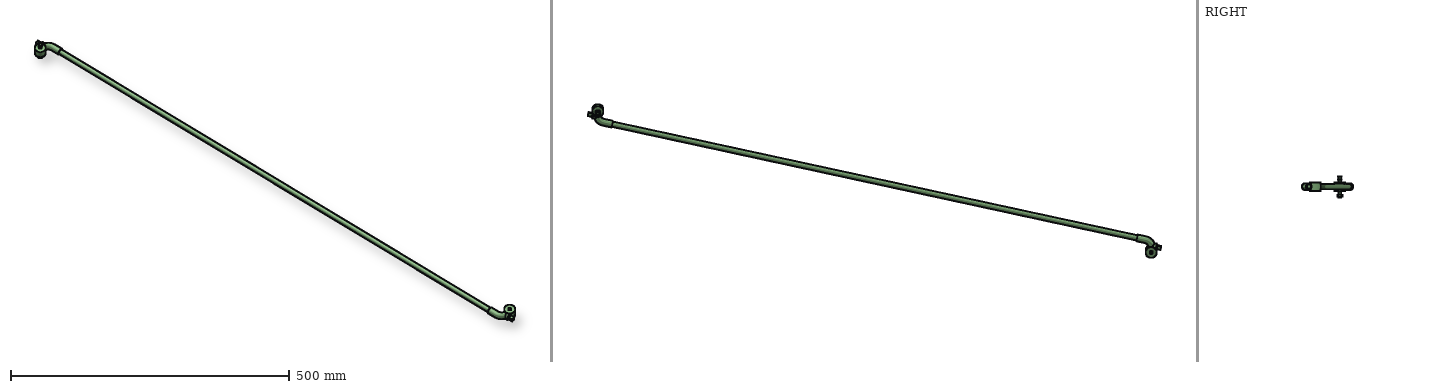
import cadquery as cq
import math

OVERALL_LENGTH = 1058.0
AXIS_Z = 0.5
TUBE_TILT = -4.6
TUBE_RADIUS = 5.0

COLLAR_RADIUS = 6.0
COLLAR_START = 484.0
COLLAR_LENGTH = 16.0
COLLAR_END = COLLAR_START + COLLAR_LENGTH
BEND_RADIUS = 15.0
EYE_DISTANCE = COLLAR_END + BEND_RADIUS
EYE_OFFSET = 19.0
EYE_RADIUS = 10.1
EYE_HEIGHT = 16.0

LUG_OFFSET = 9.0
LUG_SIZE = 6.0
LUG_CORNER = LUG_OFFSET + LUG_SIZE / 2
TILT_ANGLE = math.radians(abs(TUBE_TILT))
LUG_TIP = (OVERALL_LENGTH / 2 - LUG_CORNER * math.sin(TILT_ANGLE)) / math.cos(TILT_ANGLE)
BOSS_RADIUS = 6.0
BOSS_TIP = 523.0
BOSS_CHAMFER = 2.0

PIN_RADIUS = 2.9
PIN_TOP = 19.0
PIN_BOTTOM = -20.0
FLANGE_RADIUS = 3.6
FLANGE_THICKNESS = 1.0
FLANGE_SPACING = 5.0
RETAINER_RADIUS = 4.8
RETAINER_THICKNESS = 3.7
PIN_TIP_LENGTH = 2.0
RETAINER_BOTTOM = PIN_BOTTOM + PIN_TIP_LENGTH


def place(body, turn):
    """Turn a body laid out along +X onto the slanted tube line; 180 puts it at the -X tip."""
    return body.rotate((0, 0, 0), (0, 0, 1), TUBE_TILT + turn).translate((0, 0, AXIS_Z))


def bar_along_tube(radius, start, end, offset=0):
    """Round bar parallel to the tube axis."""
    return cq.Workplane("YZ", origin=(start, offset, 0)).circle(radius).extrude(end - start)


def disc_on_eye_axis(radius, bottom, height):
    """Upright disc centred on the eye."""
    return cq.Workplane("XY", origin=(EYE_DISTANCE, EYE_OFFSET, bottom)).circle(radius).extrude(height)


def make_tube():
    return bar_along_tube(TUBE_RADIUS, -COLLAR_START, COLLAR_START)


def make_bend():
    """Quarter bend that turns from the collar towards the eye."""
    path = (
        cq.Workplane("XY")
        .moveTo(COLLAR_END, 0)
        .radiusArc((EYE_DISTANCE, BEND_RADIUS), -BEND_RADIUS)
    )
    return cq.Workplane("YZ", origin=(COLLAR_END, 0, 0)).circle(COLLAR_RADIUS).sweep(path)


def make_lug():
    boss = bar_along_tube(BOSS_RADIUS, EYE_DISTANCE, BOSS_TIP, LUG_OFFSET)
    boss = boss.faces(">X").chamfer(BOSS_CHAMFER)
    lug = (
        cq.Workplane("YZ", origin=(EYE_DISTANCE, LUG_OFFSET, 0))
        .rect(LUG_SIZE, LUG_SIZE)
        .extrude(LUG_TIP - EYE_DISTANCE)
    )
    return boss.union(lug)


def make_end_fitting():
    collar = bar_along_tube(COLLAR_RADIUS, COLLAR_START, COLLAR_END)
    eye = disc_on_eye_axis(EYE_RADIUS, -EYE_HEIGHT / 2, EYE_HEIGHT)
    bore = disc_on_eye_axis(PIN_RADIUS, -EYE_HEIGHT / 2, EYE_HEIGHT)
    return collar.union(make_bend()).union(eye).union(make_lug()).cut(bore)


def make_pin():
    pin = disc_on_eye_axis(PIN_RADIUS, PIN_BOTTOM, PIN_TOP - PIN_BOTTOM)
    for flange_top in (PIN_TOP, PIN_TOP - FLANGE_SPACING):
        pin = pin.union(disc_on_eye_axis(FLANGE_RADIUS, flange_top - FLANGE_THICKNESS, FLANGE_THICKNESS))
    return pin


def make_retaining_ring():
    ring = disc_on_eye_axis(RETAINER_RADIUS, RETAINER_BOTTOM, RETAINER_THICKNESS)
    return ring.cut(disc_on_eye_axis(PIN_RADIUS, RETAINER_BOTTOM, RETAINER_THICKNESS))


tube = place(make_tube(), 0)
end_fittings = [place(make_end_fitting(), turn) for turn in (0, 180)]
pin = place(make_pin(), 180)
retaining_ring = place(make_retaining_ring(), 180)

result = cq.Compound.makeCompound(
    [tube.val(), *[fitting.val() for fitting in end_fittings], pin.val(), retaining_ring.val()]
)